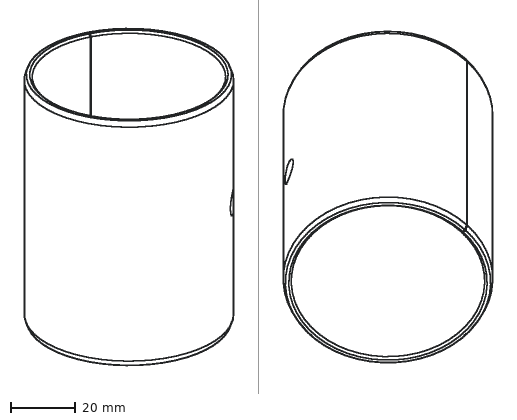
import cadquery as cq

length = 85.0
outer_diameter = 65.0
inner_diameter = 60.0
outer_chamfer_height = 1.9
outer_chamfer_depth = 0.7
inner_chamfer = 0.8
joint_gap = 0.3
oil_hole_diameter = 8.0
oil_hole_angle = 59

outer_radius = outer_diameter / 2
inner_radius = inner_diameter / 2
half_length = length / 2


def make_sleeve():
    """Revolve the wall section, chamfered inside and outside at both ends, about Z."""
    section = (
        cq.Workplane("XZ")
        .moveTo(inner_radius, half_length - inner_chamfer)
        .lineTo(inner_radius + inner_chamfer, half_length)
        .lineTo(outer_radius - outer_chamfer_depth, half_length)
        .lineTo(outer_radius, half_length - outer_chamfer_height)
        .lineTo(outer_radius, -half_length + outer_chamfer_height)
        .lineTo(outer_radius - outer_chamfer_depth, -half_length)
        .lineTo(inner_radius + inner_chamfer, -half_length)
        .lineTo(inner_radius, -half_length + inner_chamfer)
        .close()
    )
    sleeve = section.revolve(360, (0, 0, 0), (0, 1, 0))
    return sleeve.rotate((0, 0, 0), (0, 0, 1), 180)


def make_joint_cutter():
    """Thin full-length slab on the +Y side of the XZ plane that splits the -X wall."""
    slab = cq.Workplane("XY").box(outer_radius, joint_gap, length, centered=(False, False, True))
    return slab.translate((-outer_radius, 0, 0))


def make_oil_hole_cutter():
    """Radial cylinder from the axis through one side of the wall."""
    cylinder = cq.Workplane("YZ").circle(oil_hole_diameter / 2).extrude(outer_radius)
    return cylinder.rotate((0, 0, 0), (0, 0, 1), oil_hole_angle)


result = make_sleeve().cut(make_joint_cutter()).cut(make_oil_hole_cutter())